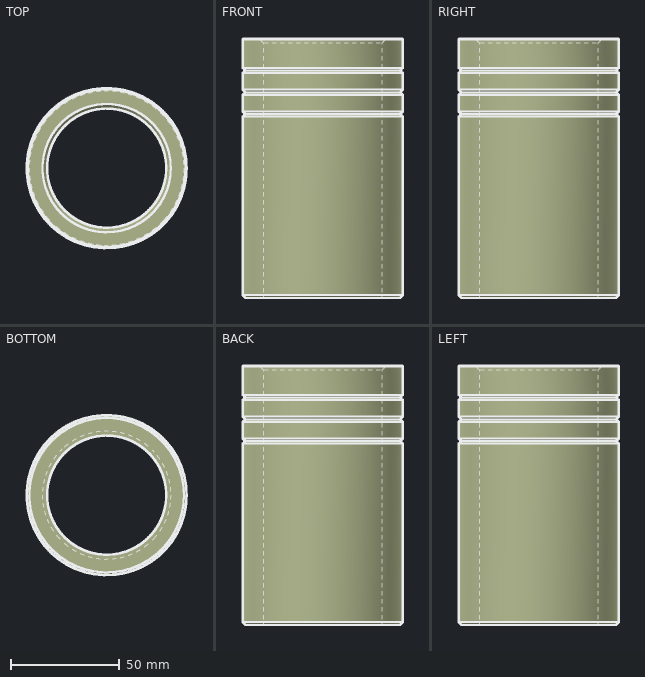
import cadquery as cq

length = 120.0
outer_radius = 74.0 / 2
bore_radius = 55.0 / 2

top_chamfer = 0.6
bottom_chamfer = 1.3
bore_chamfer = 2.2

groove_count = 3
groove_pitch = 10.1
first_groove_from_top = 14.9
groove_depth = 1.2


def make_sleeve():
    """Revolve the wall section, including the end chamfers."""
    section = (
        cq.Workplane("XZ")
        .moveTo(bore_radius, 0)
        .lineTo(outer_radius - bottom_chamfer, 0)
        .lineTo(outer_radius, bottom_chamfer)
        .lineTo(outer_radius, length - top_chamfer)
        .lineTo(outer_radius - top_chamfer, length)
        .lineTo(bore_radius + bore_chamfer, length)
        .lineTo(bore_radius, length - bore_chamfer)
        .close()
    )
    return section.revolve(360, (0, 0, 0), (0, 1, 0))


def make_groove_cutter(middle_height):
    """Ring with a V section whose tip lies at the given height."""
    v_depth = 2 * groove_depth
    tip_radius = outer_radius - groove_depth
    section = (
        cq.Workplane("XZ")
        .moveTo(tip_radius, middle_height)
        .lineTo(tip_radius + v_depth, middle_height - v_depth)
        .lineTo(tip_radius + v_depth, middle_height + v_depth)
        .close()
    )
    return section.revolve(360, (0, 0, 0), (0, 1, 0))


result = make_sleeve()
for index in range(groove_count):
    groove_height = length - first_groove_from_top - index * groove_pitch
    result = result.cut(make_groove_cutter(groove_height))